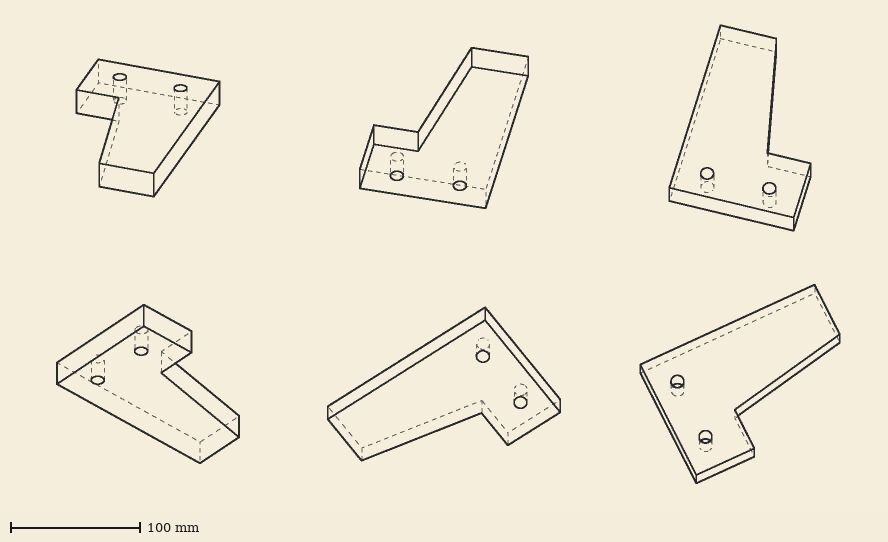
import cadquery as cq

width = 100.0
length = 150.0
thickness = 21.0

head_length = 50.0

leg_root_width = 65.0
leg_tip_width = 45.0

hole_diameter = 10.0
hole_spacing = 50.0
hole_edge_distance = 20.0


def make_plate():
    """Extrude the L-shaped outline, with the leg tip on Y = 0."""
    head_bottom = length - head_length
    outline = [
        (width - leg_tip_width, 0),
        (width, 0),
        (width, length),
        (0, length),
        (0, head_bottom),
        (width - leg_root_width, head_bottom),
    ]
    return cq.Workplane("XY").polyline(outline).close().extrude(thickness)


def make_holes():
    """Two vertical cylinders, centred across the head width."""
    hole_y = length - hole_edge_distance
    centers = [(width / 2 + side * hole_spacing / 2, hole_y) for side in (-1, 1)]
    return cq.Workplane("XY").pushPoints(centers).circle(hole_diameter / 2).extrude(thickness)


result = make_plate().cut(make_holes())